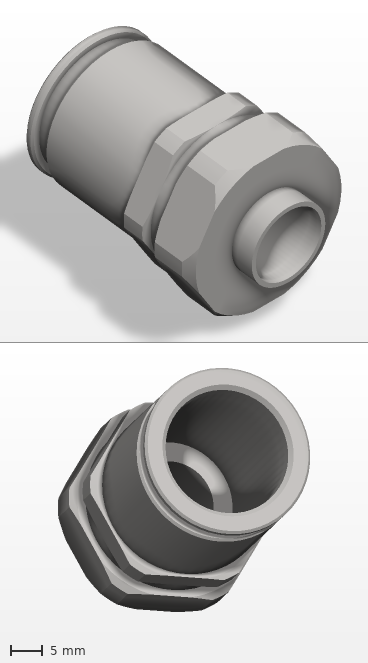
import cadquery as cq
import math

FLANGE_END_X = 1.7
GROOVE_END_X = 4.7
SLEEVE_END_X = 25.2
SLEEVE_HEX_END_X = 30.2
COLLAR_END_X = 33.2
NUT_END_X = 42.3
TOTAL_LENGTH = 47.0

SLEEVE_DIAMETER = 27.0
GROOVE_DIAMETER = 24.0
COLLAR_DIAMETER = 28.0
TAIL_DIAMETER = 15.5

FLANGE_CHAMFER = 0.4
SLEEVE_CHAMFER = 0.4

SLEEVE_HEX_FLATS = 28.0
NUT_FLATS = 30.0
CORNER_RATIO = 1.1

CONE_SLOPE = math.tan(math.radians(30))
NUT_BACK_CHAMFER_LENGTH = 2.0
NUT_CHAMFER_DEPTH = NUT_BACK_CHAMFER_LENGTH * CONE_SLOPE
NUT_FRONT_CHAMFER = (NUT_CHAMFER_DEPTH * CONE_SLOPE, NUT_CHAMFER_DEPTH)
NUT_BACK_CHAMFER = (NUT_BACK_CHAMFER_LENGTH, NUT_CHAMFER_DEPTH)
SLEEVE_HEX_FRONT_CHAMFER = (0.2, 1.0)
SLEEVE_HEX_BACK_CHAMFER = (0.45, (SLEEVE_HEX_FLATS * CORNER_RATIO - COLLAR_DIAMETER) / 2)

SOCKET_DIAMETER = 20.0
SOCKET_DEPTH = COLLAR_END_X
SOCKET_CHAMFER = 0.7
PASSAGE_DIAMETER = 13.8


def cylinder(start_x, end_x, diameter):
    """Solid cylinder on the X axis between two stations."""
    return cq.Workplane("YZ", origin=(start_x, 0, 0)).circle(diameter / 2).extrude(end_x - start_x)


def hexagon(start_x, end_x, flats, front_chamfer, back_chamfer):
    """Hexagonal section with flats facing +Z and -Z, and corners turned to a coned cylinder."""
    corner_to_corner = flats / math.cos(math.pi / 6)
    prism = cq.Workplane("YZ", origin=(start_x, 0, 0)).polygon(6, corner_to_corner).extrude(end_x - start_x)
    radius = flats * CORNER_RATIO / 2
    front_length, front_depth = front_chamfer
    back_length, back_depth = back_chamfer
    turned_corners = (
        cq.Workplane("XY")
        .moveTo(start_x, 0)
        .lineTo(start_x, radius - front_depth)
        .lineTo(start_x + front_length, radius)
        .lineTo(end_x - back_length, radius)
        .lineTo(end_x, radius - back_depth)
        .lineTo(end_x, 0)
        .close()
        .revolve(360, (0, 0, 0), (1, 0, 0))
    )
    return prism.intersect(turned_corners)


def sleeve():
    """Round sleeve with an end flange and a retaining groove behind it."""
    flange = cylinder(0, FLANGE_END_X, SLEEVE_DIAMETER).edges().chamfer(FLANGE_CHAMFER)
    groove_core = cylinder(FLANGE_END_X, GROOVE_END_X, GROOVE_DIAMETER)
    barrel = cylinder(GROOVE_END_X, SLEEVE_END_X, SLEEVE_DIAMETER).faces("<X").edges().chamfer(SLEEVE_CHAMFER)
    return flange.union(groove_core).union(barrel)


def bore():
    """Stepped bore with a chamfered mouth."""
    socket = cylinder(0, SOCKET_DEPTH, SOCKET_DIAMETER)
    passage = cylinder(SOCKET_DEPTH, TOTAL_LENGTH, PASSAGE_DIAMETER)
    mouth_radius = SOCKET_DIAMETER / 2 + SOCKET_CHAMFER
    mouth = cq.Solid.makeCone(
        mouth_radius, SOCKET_DIAMETER / 2, SOCKET_CHAMFER, cq.Vector(0, 0, 0), cq.Vector(1, 0, 0)
    )
    return socket.union(passage).union(cq.Workplane(mouth))


sleeve_hex = hexagon(
    SLEEVE_END_X,
    SLEEVE_HEX_END_X,
    SLEEVE_HEX_FLATS,
    SLEEVE_HEX_FRONT_CHAMFER,
    SLEEVE_HEX_BACK_CHAMFER,
)
collar = cylinder(SLEEVE_HEX_END_X, COLLAR_END_X, COLLAR_DIAMETER)
nut = hexagon(COLLAR_END_X, NUT_END_X, NUT_FLATS, NUT_FRONT_CHAMFER, NUT_BACK_CHAMFER)
tail = cylinder(NUT_END_X, TOTAL_LENGTH, TAIL_DIAMETER)

result = sleeve().union(sleeve_hex).union(collar).union(nut).union(tail).cut(bore())